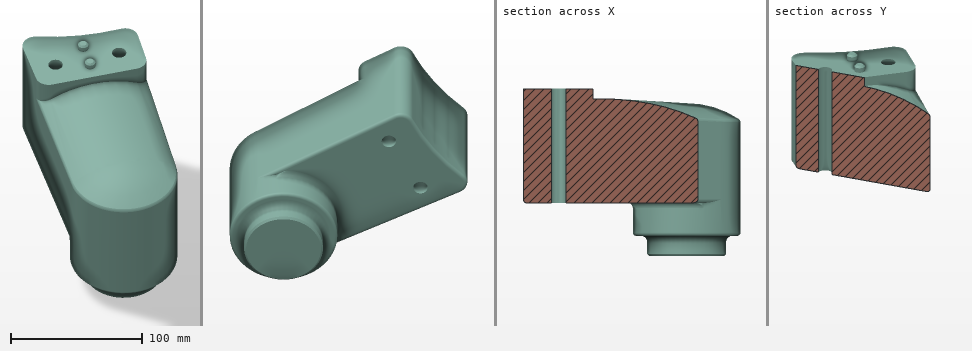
import cadquery as cq
import math

barrel_radius = 41.0
barrel_bottom = 15.3
barrel_edge_round = 2.3
spigot_radius = 30.0
spigot_cove = 5.0
spigot_chamfer = 1.5
crown_edge = 103.2
crown_peak = 116.1
rim_round = 2.7

arm_angle = 128.9
side_taper = 1.4
crown_slope = 2.7
block_bottom = 40.3
block_bottom_round = 2.7
neck_cove = 4.0
head_top = 127.4
head_front = 84.6
head_corner_radius = 10.0
head_back_left = 144.0
head_back_middle = 131.4
head_back_right = 131.2
arm_end = 102.8

hole_diameter = 11.0
hole_spacing = 50.1
hole_position = 105.0
pin_diameter = 8.0
pin_spacing = 20.0
pin_position = 107.0
pin_height = 5.1
pin_chamfer = 1.3


def half_width(along):
    """Half the distance between the flared side walls at a place along the arm."""
    taper = math.radians(side_taper)
    return barrel_radius / math.cos(taper) + along * math.tan(taper)


def make_barrel():
    crown_rise = crown_peak - crown_edge
    crown_radius = (barrel_radius**2 + crown_rise**2) / (2 * crown_rise)
    half_angle = math.asin(barrel_radius / crown_radius) / 2
    arc_middle = (
        crown_radius * math.sin(half_angle),
        crown_peak - crown_radius * (1 - math.cos(half_angle)),
    )
    body = (
        cq.Workplane("XZ")
        .moveTo(0, barrel_bottom)
        .lineTo(barrel_radius, barrel_bottom)
        .lineTo(barrel_radius, crown_edge)
        .threePointArc(arc_middle, (0, crown_peak))
        .close()
        .revolve(360, (0, 0, 0), (0, 1, 0))
    )
    body = body.faces("<Z").edges().fillet(barrel_edge_round)
    body = body.faces("%CYLINDER").edges(">Z").fillet(rim_round)
    cove_outer = spigot_radius + spigot_cove
    spigot_top = barrel_bottom + barrel_edge_round
    spigot = (
        cq.Workplane("XZ")
        .lineTo(spigot_radius - spigot_chamfer, 0)
        .lineTo(spigot_radius, spigot_chamfer)
        .lineTo(spigot_radius, barrel_bottom - spigot_cove)
        .radiusArc((cove_outer, barrel_bottom), spigot_cove)
        .lineTo(cove_outer, spigot_top)
        .lineTo(0, spigot_top)
        .close()
        .revolve(360, (0, 0, 0), (0, 1, 0))
    )
    return body.union(spigot)


def arm_section(along):
    climb = along * math.tan(math.radians(crown_slope))
    side = half_width(along)
    return (
        cq.Workplane("YZ", origin=(along, 0, 0))
        .moveTo(-side, block_bottom)
        .lineTo(side, block_bottom)
        .lineTo(side, crown_edge + climb)
        .threePointArc((0, crown_peak + climb), (-side, crown_edge + climb))
        .close()
        .wires()
        .val()
    )


def make_arm():
    sections = [arm_section(0), arm_section(arm_end)]
    arm = cq.Workplane(cq.Solid.makeLoft(sections, True))
    shoulder_height = crown_edge + arm_end / 2 * math.tan(math.radians(crown_slope))
    for side in (-1, 1):
        shoulder = (arm_end / 2, side * half_width(arm_end / 2), shoulder_height)
        arm = arm.edges(cq.selectors.NearestToPointSelector(shoulder)).fillet(rim_round)
    return arm


def make_neck_cove():
    """Concave ring under the arm, kept within the flat of its underside."""
    cove_radius = barrel_radius + neck_cove
    cove_top = block_bottom + block_bottom_round
    ring = (
        cq.Workplane("XZ")
        .moveTo(0, block_bottom - neck_cove)
        .lineTo(barrel_radius, block_bottom - neck_cove)
        .radiusArc((cove_radius, block_bottom), neck_cove)
        .lineTo(cove_radius, cove_top)
        .lineTo(0, cove_top)
        .close()
        .revolve(360, (0, 0, 0), (0, 1, 0))
    )
    underside = cq.Workplane("XY").box(
        arm_end,
        2 * (barrel_radius - block_bottom_round),
        head_top,
        centered=(False, True, False),
    )
    return ring.intersect(underside)


def make_head():
    return (
        cq.Workplane("XY", origin=(0, 0, block_bottom))
        .moveTo(head_front, -half_width(head_front))
        .lineTo(head_back_right, -half_width(head_back_right))
        .threePointArc((head_back_middle, 0), (head_back_left, half_width(head_back_left)))
        .lineTo(head_front, half_width(head_front))
        .close()
        .extrude(head_top - block_bottom)
        .edges("|Z")
        .fillet(head_corner_radius)
    )


def make_pins():
    return (
        cq.Workplane("XY", origin=(pin_position, 0, head_top))
        .rarray(pin_spacing, 1.7, 2, 1)
        .circle(pin_diameter / 2)
        .extrude(pin_height)
        .faces(">Z")
        .edges()
        .chamfer(pin_chamfer)
    )


block = make_arm().union(make_head()).clean()
block = block.faces("<Z").edges().fillet(block_bottom_round)
part = block.union(make_barrel()).union(make_neck_cove())
part = part.union(make_pins())
holes = (
    cq.Workplane("XY", origin=(hole_position, 0, 0))
    .rarray(1.7, hole_spacing, 1, 2)
    .circle(hole_diameter / 2)
    .extrude(head_top)
)
result = part.cut(holes).rotate((0, 0, 0), (0, 0, 1), arm_angle)